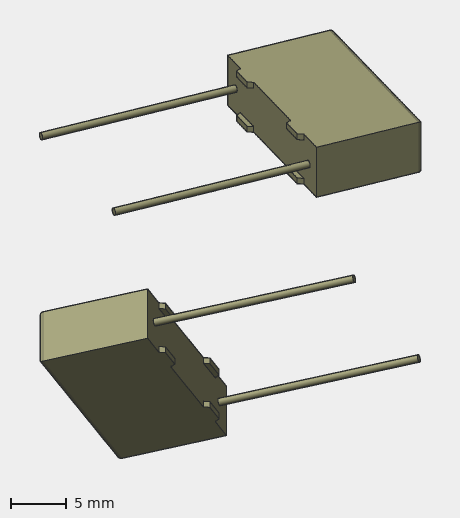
import cadquery as cq

HOUSING_WIDTH = 18.3
HOUSING_HEIGHT = 10.63
HOUSING_THICKNESS = 5.2
BACK_EDGE_RADIUS = 0.4

FOOT_BASE_WIDTH = 2.77
FOOT_TIP_WIDTH = 2.17
FOOT_HEIGHT = 0.5
FOOT_THICKNESS = 0.6
FOOT_SPACING = 10.3

OVERALL_LENGTH = 30.1
LEAD_DIAMETER = 0.7
LEAD_PITCH = 15.0
LEAD_LENGTH = OVERALL_LENGTH - HOUSING_HEIGHT

SIDES = (-1, 1)


def make_foot(center_x, bottom_z):
    """Tapered tab that points down -Y from the seating face."""
    return (
        cq.Workplane("XY", origin=(center_x, 0, bottom_z))
        .moveTo(-FOOT_BASE_WIDTH / 2, 0)
        .lineTo(-FOOT_TIP_WIDTH / 2, -FOOT_HEIGHT)
        .lineTo(FOOT_TIP_WIDTH / 2, -FOOT_HEIGHT)
        .lineTo(FOOT_BASE_WIDTH / 2, 0)
        .close()
        .extrude(FOOT_THICKNESS)
    )


def make_housing():
    """Box with rounded back edges and four standoff feet."""
    housing = (
        cq.Workplane("XY")
        .box(HOUSING_WIDTH, HOUSING_HEIGHT, HOUSING_THICKNESS, centered=(True, False, True))
        .faces(">Y")
        .edges()
        .fillet(BACK_EDGE_RADIUS)
    )
    lower_foot_z = -HOUSING_THICKNESS / 2
    upper_foot_z = HOUSING_THICKNESS / 2 - FOOT_THICKNESS
    for side in SIDES:
        for bottom_z in (lower_foot_z, upper_foot_z):
            housing = housing.union(make_foot(side * FOOT_SPACING / 2, bottom_z))
    return housing


def make_lead(center_x):
    """Round wire that runs along -Y from the seating face."""
    return cq.Workplane("XZ", origin=(center_x, 0, 0)).circle(LEAD_DIAMETER / 2).extrude(LEAD_LENGTH)


housing = make_housing()
leads = [make_lead(side * LEAD_PITCH / 2) for side in SIDES]

result = cq.Compound.makeCompound([housing.val(), *[lead.val() for lead in leads]])